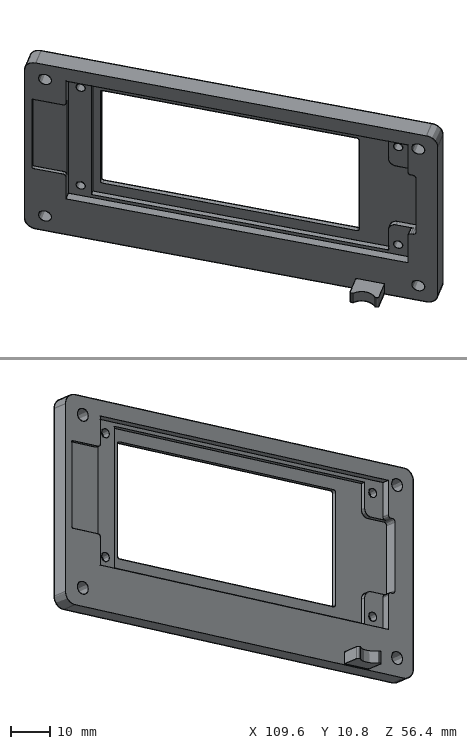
import cadquery as cq

plate_width = 109.6
plate_height = 56.38
plate_thickness = 5.0
plate_corner_radius = 3.0
top_margin = 4.25

board_left = -43.8
board_right = 46.9
board_height = 40.0
board_depth = 2.3

display_left = -37.7
display_right = 41.1
display_height = 38.0
display_depth = 3.7

window_left = -35.7
window_right = 32.9
window_height = 31.4
window_corner_radius = 0.6

left_pocket_end = -52.8
left_pocket_height = 23.5
left_pocket_depth = 1.0
left_pocket_corner_radius = 0.4
right_notch_end = 49.0
right_notch_height = 20.0
right_notch_corner_radius = 0.8
mouth_radius = 0.8
shelf_corner_radius = 2.0

mount_hole_diameter = 3.4
mount_hole_spacing_x = 99.0
mount_hole_center_x = 0.15
mount_hole_spacing_z = 46.4
board_hole_diameter = 2.4
board_hole_spacing_x = 84.2
board_hole_spacing_z = 33.2
board_hole_center_x = 1.55

tab_left = 33.1
tab_width = 7.6
tab_height = 3.2
tab_length = 5.76
tab_bottom_gap = 0.3
tab_groove_width = 5.8
tab_groove_depth = 1.4
tab_tip_radius = 0.5

selection_margin = 0.1

plate_top = board_height / 2 + top_margin
plate_bottom = plate_top - plate_height
plate_center_z = plate_top - plate_height / 2


def block(left, right, bottom, top, depth):
    """Box spanning the given X and Z limits, from the mounting face to the given depth."""
    return cq.Workplane("XY").box(
        right - left, depth, top - bottom, centered=False
    ).translate((left, 0, bottom))


def centered_block(left, right, height, depth):
    """Block that is symmetric in Z about the display opening."""
    return block(left, right, -height / 2, height / 2, depth)


def y_cylinders(centers, diameter, length):
    """Cylinders along +Y from the mounting face, at the given (x, z) centres."""
    return (
        cq.Workplane("XZ")
        .pushPoints(centers)
        .circle(diameter / 2)
        .extrude(-length)
    )


def hole_grid(center_x, center_z, spacing_x, spacing_z, diameter):
    """Four through holes at the corners of a rectangle."""
    centers = [
        (center_x + sx * spacing_x / 2, center_z + sz * spacing_z / 2)
        for sx in (-1, 1)
        for sz in (-1, 1)
    ]
    return y_cylinders(centers, diameter, plate_thickness)


def make_mouth_rounding(wall_x, direction, half_height, depth):
    """Cutter that rounds both corners where a side pocket opens into the board recess.

    direction is the X direction (-1 or 1) in which the side pocket leaves the recess wall.
    """
    center_x = wall_x + direction * mouth_radius
    left = min(wall_x, center_x)
    right = max(wall_x, center_x)
    center_z = half_height + mouth_radius
    strip = centered_block(left, right, 2 * center_z, depth)
    posts = y_cylinders([(center_x, center_z), (center_x, -center_z)], 2 * mouth_radius, depth)
    return strip.cut(posts)


def make_plate():
    plate = block(-plate_width / 2, plate_width / 2, plate_bottom, plate_top, plate_thickness)
    return plate.edges("|Y").fillet(plate_corner_radius)


def make_display_recess():
    """Display pocket plus the right notch, which share one floor."""
    pocket = centered_block(display_left, display_right, display_height, display_depth)
    notch = centered_block(window_right, right_notch_end, right_notch_height, display_depth)
    notch = notch.edges("|Y and >X").fillet(right_notch_corner_radius)
    recess = pocket.union(notch)
    shelf_corners = cq.selectors.BoxSelector(
        (display_right - selection_margin, 0, -right_notch_height / 2 - selection_margin),
        (display_right + selection_margin, display_depth, right_notch_height / 2 + selection_margin),
    )
    return recess.edges("|Y").edges(shelf_corners).fillet(shelf_corner_radius)


def make_left_pocket():
    pocket = centered_block(left_pocket_end, board_left, left_pocket_height, left_pocket_depth)
    return pocket.edges("|Y and <X").fillet(left_pocket_corner_radius)


def make_window():
    window = centered_block(window_left, window_right, window_height, plate_thickness)
    return window.edges("|Y").fillet(window_corner_radius)


def make_tab():
    """Tab with rounded tips and an arc groove across its free end."""
    tab_right = tab_left + tab_width
    tab_center = tab_left + tab_width / 2
    groove_left = tab_center - tab_groove_width / 2
    groove_right = tab_center + tab_groove_width / 2
    tab_bottom = plate_bottom + tab_bottom_gap
    tab = (
        cq.Workplane("XY", origin=(0, 0, tab_bottom))
        .moveTo(tab_left, 0)
        .lineTo(tab_left, -tab_length)
        .lineTo(groove_left, -tab_length)
        .threePointArc((tab_center, -tab_length + tab_groove_depth), (groove_right, -tab_length))
        .lineTo(tab_right, -tab_length)
        .lineTo(tab_right, 0)
        .close()
        .extrude(tab_height)
    )
    for side in ("<X", ">X"):
        tab = tab.faces(side).edges("<Y").fillet(tab_tip_radius)
    return tab


mount_holes = hole_grid(
    mount_hole_center_x, plate_center_z, mount_hole_spacing_x, mount_hole_spacing_z, mount_hole_diameter
)
board_holes = hole_grid(
    board_hole_center_x, 0, board_hole_spacing_x, board_hole_spacing_z, board_hole_diameter
)

result = (
    make_plate()
    .cut(centered_block(board_left, board_right, board_height, board_depth))
    .cut(make_display_recess())
    .cut(make_left_pocket())
    .cut(make_mouth_rounding(board_left, -1, left_pocket_height / 2, left_pocket_depth))
    .cut(make_mouth_rounding(board_right, 1, right_notch_height / 2, board_depth))
    .cut(make_window())
    .cut(mount_holes)
    .cut(board_holes)
    .union(make_tab())
)